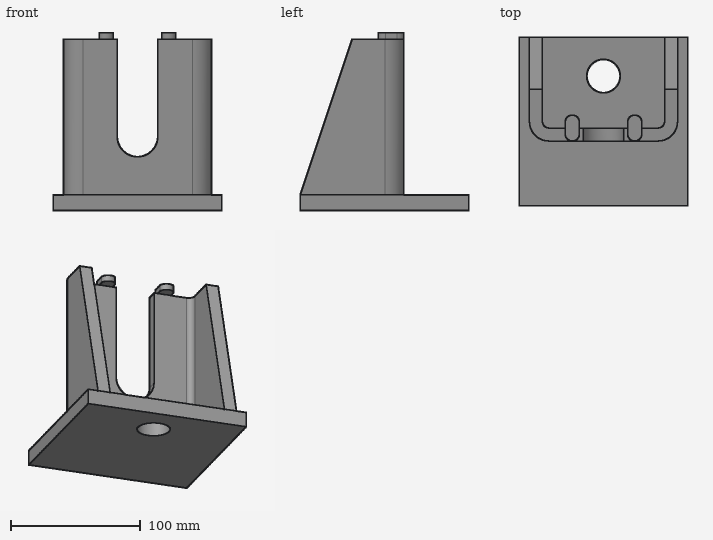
import cadquery as cq

plate_size = 130.0
plate_thickness = 12.0
plate_hole_diameter = 25.5
plate_hole_setback = 30.0

upright_width = 114.0
upright_depth = 80.0
upright_height = 120.0
wall_thickness = 10.0
corner_radius = 15.0
inner_corner_radius = corner_radius - wall_thickness
side_top_setback = 40.0

slot_width = 31.0
slot_center_height = 45.0

key_length = 20.0
key_width = 11.0
key_height = 5.0
key_spacing = 48.0

upright_front = -upright_depth
upright_top = plate_thickness + upright_height


def make_plate():
    """Square base plate with a through hole near its back edge."""
    return (
        cq.Workplane("XY")
        .rect(plate_size, plate_size)
        .extrude(plate_thickness)
        .translate((0, -plate_size / 2, 0))
        .cut(
            cq.Workplane("XY")
            .center(0, -plate_hole_setback)
            .circle(plate_hole_diameter / 2)
            .extrude(plate_thickness)
        )
    )


def rounded_block(width, front, radius):
    """Upright block from the back edge to front, its two front corners rounded."""
    return (
        cq.Workplane("XY", origin=(0, front / 2, plate_thickness))
        .rect(width, -front)
        .extrude(upright_height)
        .edges("|Z and <Y")
        .fillet(radius)
    )


def make_slope_cutter():
    """Wedge that slants the back of the side walls from the plate to their level top."""
    return (
        cq.Workplane("YZ", origin=(-upright_width / 2, 0, 0))
        .moveTo(0, plate_thickness)
        .lineTo(-side_top_setback, upright_top)
        .lineTo(0, upright_top)
        .close()
        .extrude(upright_width)
    )


def make_slot_cutter():
    """U-shaped slot through the front wall."""
    half_width = slot_width / 2
    round_center = plate_thickness + slot_center_height
    return (
        cq.Workplane("XZ", origin=(0, upright_front + wall_thickness, 0))
        .moveTo(-half_width, upright_top)
        .lineTo(-half_width, round_center)
        .threePointArc((0, round_center - half_width), (half_width, round_center))
        .lineTo(half_width, upright_top)
        .close()
        .extrude(wall_thickness)
    )


def make_upright():
    """Front wall and two slanted side walls joined by round corners."""
    inside = rounded_block(
        upright_width - 2 * wall_thickness,
        upright_front + wall_thickness,
        inner_corner_radius,
    )
    return (
        rounded_block(upright_width, upright_front, corner_radius)
        .cut(inside)
        .cut(make_slope_cutter())
        .cut(make_slot_cutter())
    )


def make_key(x):
    """Round-ended key flush with the front face and overhanging the wall inwards."""
    return (
        cq.Workplane("XY", origin=(x, upright_front + key_length / 2, upright_top))
        .slot2D(key_length, key_width, 90)
        .extrude(key_height)
    )


plate = make_plate()
upright = make_upright()
keys = [make_key(side * key_spacing / 2) for side in (-1, 1)]

result = cq.Compound.makeCompound([plate.val(), upright.val(), *[key.val() for key in keys]])